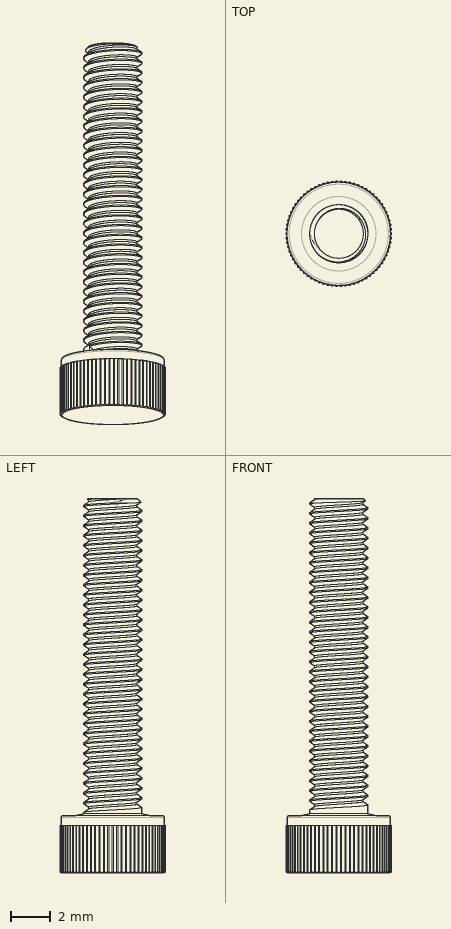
import cadquery as cq
import math

total_length = 18.9
shank_length = 16.0
head_height = total_length - shank_length

knurl_diameter = 5.33
knurl_top = 2.4
collar_diameter = 5.21
collar_fillet = 0.1
base_bevel_width = 0.1
base_bevel_height = 0.06

scallop_count = 74
scallop_width = 0.17
scallop_depth = 0.05

shank_radius = 1.47
seat_radius = 1.88
seat_height = 0.09
tip_chamfer = 0.23

pitch = 0.5
root_flat = pitch / 5
crest_flat = pitch / 8
groove_depth = 0.24
flank_slope = (pitch - root_flat - crest_flat) / 2 / groove_depth
root_radius = shank_radius - groove_depth
groove_start_height = 3.15
cutter_overshoot = 0.015

spare_length = 2 * pitch
blank_seam_angle = 90


def polar(radius, angle):
    """Point in the XY plane at a radius and an angle from the X axis."""
    return (radius * math.cos(angle), radius * math.sin(angle))


def revolve_about_z(profile):
    """Turn a closed (radius, height) profile about the Z axis."""
    return profile.revolve(360, (0, 0, 0), (0, 1, 0))


def make_knurled_band():
    """Band whose outline is a ring of narrow lands joined by concave scallops."""
    radius = knurl_diameter / 2
    step = 2 * math.pi / scallop_count
    half_scallop = scallop_width / radius / 2

    outline = cq.Workplane("XY").moveTo(*polar(radius, half_scallop - step / 2))
    for index in range(scallop_count):
        land_middle = index * step
        scallop_middle = land_middle + step / 2
        outline = outline.threePointArc(
            polar(radius, land_middle),
            polar(radius, scallop_middle - half_scallop),
        ).threePointArc(
            polar(radius - scallop_depth, scallop_middle),
            polar(radius, scallop_middle + half_scallop),
        )
    return outline.close().extrude(knurl_top)


def make_head_envelope():
    """Plain round blank with a shallow bevel round its base."""
    radius = knurl_diameter / 2
    profile = (
        cq.Workplane("XZ")
        .lineTo(radius - base_bevel_width, 0)
        .lineTo(radius, base_bevel_height)
        .lineTo(radius, head_height)
        .lineTo(0, head_height)
        .close()
    )
    return revolve_about_z(profile)


def make_head():
    """Collar and knurled band joined and bevelled at the base."""
    collar = cq.Workplane("XY").circle(collar_diameter / 2).extrude(head_height)
    collar = collar.faces(">Z").edges().fillet(collar_fillet)
    return collar.union(make_knurled_band()).intersect(make_head_envelope())


def make_shank_blank():
    """Over-long plain shank standing on its conical seat."""
    blank_top = total_length + spare_length
    profile = (
        cq.Workplane("XZ")
        .moveTo(0, head_height)
        .lineTo(seat_radius, head_height)
        .lineTo(shank_radius, head_height + seat_height)
        .lineTo(shank_radius, blank_top)
        .lineTo(0, blank_top)
        .close()
    )
    return revolve_about_z(profile).rotate((0, 0, 0), (0, 0, 1), blank_seam_angle)


def make_thread_groove():
    """Helical cutter from the foot of the shank to within the spare length."""
    helix_height = total_length + spare_length / 2 - groove_start_height
    helix = cq.Wire.makeHelix(pitch, helix_height, shank_radius)
    mouth_radius = shank_radius + cutter_overshoot
    half_root = root_flat / 2
    half_mouth = half_root + (mouth_radius - root_radius) * flank_slope
    profile = (
        cq.Workplane("XZ")
        .moveTo(root_radius, -half_root)
        .lineTo(mouth_radius, -half_mouth)
        .lineTo(mouth_radius, half_mouth)
        .lineTo(root_radius, half_root)
        .close()
    )
    groove = profile.sweep(cq.Workplane(obj=helix), isFrenet=True)
    return groove.translate((0, 0, groove_start_height))


def make_tip_trim():
    """Everything outside the chamfered tip, including the spare length."""
    chamfer_reach = tip_chamfer + cutter_overshoot
    top_radius = shank_radius - tip_chamfer
    trim_top = total_length + spare_length + pitch
    profile = (
        cq.Workplane("XZ")
        .moveTo(0, total_length)
        .lineTo(top_radius, total_length)
        .lineTo(top_radius + chamfer_reach, total_length - chamfer_reach)
        .lineTo(top_radius + chamfer_reach, trim_top)
        .lineTo(0, trim_top)
        .close()
    )
    return revolve_about_z(profile)


threaded_shank = make_shank_blank().cut(make_thread_groove()).cut(make_tip_trim())
result = make_head().union(threaded_shank).solids()